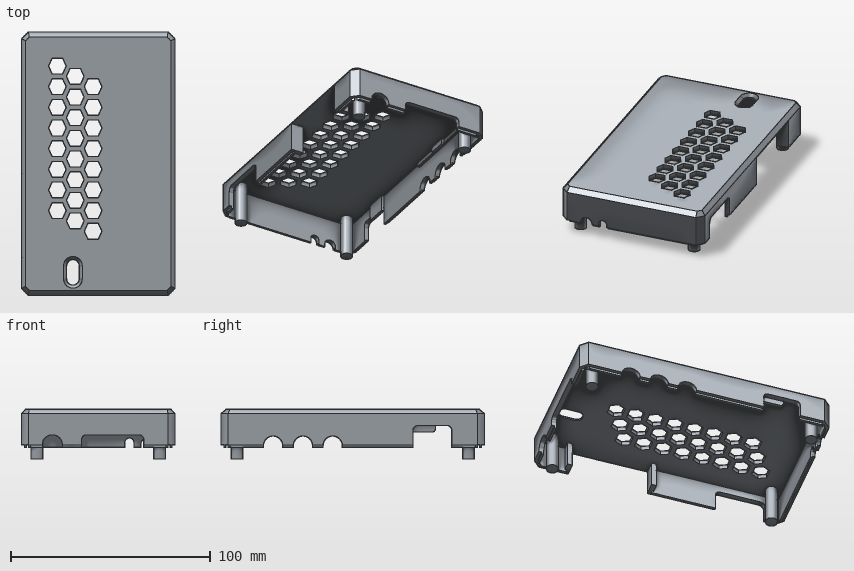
import cadquery as cq
import math

WIDTH = 77.0
LENGTH = 132.0
HEIGHT = 25.0
CORNER_CUT = 3.5
RIM_INSET_X = 2.1
RIM_INSET_Y = 2.6
RIM_CORNER_CUT = 1.8
RIM_DROP = 2.2
WALL = 2.5
PLATE = 2.6

LIP_INSET = 1.5
LIP_CORNER_CUT = 3.2
LIP_DROP = 1.3

PIN_DIAMETER = 6.0
PIN_SIDE_DISTANCE = 7.8
PIN_END_DISTANCE = 8.0
PIN_LENGTH = 5.8

LIP_BOTTOM = PIN_LENGTH
WALL_BOTTOM = LIP_BOTTOM + LIP_DROP
PLATE_BOTTOM = HEIGHT - PLATE
RIM_BOTTOM = HEIGHT - RIM_DROP

HEX_WIDTH = 8.7
HEX_HEIGHT = 7.8
HEX_FLAT_LENGTH = 5.1
HEX_COLUMNS = 3
HEX_ROWS = 8
HEX_CENTER_SPAN = 72.3
HEX_STEP = HEX_CENTER_SPAN / (HEX_ROWS - 1)
HEX_START_X = -20.5
HEX_START_Y = 48.8

SLOT_X = -12.7
SLOT_Y = -54.4
SLOT_WIDTH = 6.2
SLOT_LENGTH = 12.7
SLOT_COUNTERSINK = 1.6

POWER_X = -23.0
POWER_RADIUS = 5.0
FRONT_OPENING_X = (-8.3, 22.7)
FRONT_OPENING_TOP = 12.1
FRONT_OPENING_RADIUS = 2.4

BACK_NOTCH_TOP = 10.5
SMALL_NOTCH_X = 15.6
SMALL_NOTCH_RADIUS = 2.2
LARGE_NOTCH_X = 24.4
LARGE_NOTCH_RADIUS = 3.0

LEFT_OPENING_Y = (30.2, 56.4)
LEFT_OPENING_TOP = 18.0
LEFT_OPENING_RADIUS = 2.6
TALL_OPENING_Y = (-47.0, -5.0)
JAMB_DEPTH = 6.7
JAMB_THICKNESS = WALL

RAIL_BOTTOM = 20.2
RAIL_THICKNESS = 1.3
TAB_Y = (-31.0, -21.3)
TAB_BOTTOM = 19.3
TAB_RADIUS = 1.0
TAB_THICKNESS = 1.3

RIGHT_OPENING_Y = (LEFT_OPENING_Y[0], 49.5)
RIGHT_OPENING_TOP = 16.8
RIGHT_OPENING_RADIUS = 2.4
PAD_Y = (LEFT_OPENING_Y[0], 41.5)
PAD_BOTTOM = 13.5
PAD_RADIUS = 1.7
PAD_THICKNESS = 1.3
JACK_RADIUS = 4.8
JACK_MIDDLE_Y = -25.0
JACK_STEP = 14.9
JACK_CENTER_Z = 6.7


def block(x_range, y_range, z_range):
    """Box between the given pairs of limits."""
    (x0, x1), (y0, y1), (z0, z1) = x_range, y_range, z_range
    return cq.Workplane("XY").box(x1 - x0, y1 - y0, z1 - z0, centered=False).translate((x0, y0, z0))


def octagon(width, length, cut, z):
    """Rectangle with cut corners, as a wire at height z."""
    x, y = width / 2, length / 2
    points = [
        (x, cut - y), (x, y - cut), (x - cut, y), (cut - x, y),
        (-x, y - cut), (-x, cut - y), (cut - x, -y), (x - cut, -y),
    ]
    return cq.Workplane("XY").workplane(offset=z).polyline(points).close()


def arch_outline(plane, center, radius, center_z):
    """Closed outline of an arch that runs down to the pin tips."""
    return (
        cq.Workplane(plane)
        .moveTo(center - radius, 0)
        .lineTo(center - radius, center_z)
        .threePointArc((center, center_z + radius), (center + radius, center_z))
        .lineTo(center + radius, 0)
        .close()
    )


def front_arch(center, radius, center_z):
    """Arch through the -Y wall."""
    return arch_outline("XZ", center, radius, center_z).extrude(WALL).translate((0, WALL - LENGTH / 2, 0))


def back_arch(center, radius, center_z):
    """Arch through the +Y wall."""
    return arch_outline("XZ", center, radius, center_z).extrude(WALL).translate((0, LENGTH / 2, 0))


def right_arch(center, radius, center_z):
    """Arch through the +X wall."""
    return arch_outline("YZ", center, radius, center_z).extrude(WALL).translate((WIDTH / 2 - WALL, 0, 0))


def make_shell():
    """Bevelled tray, open at the bottom, with a set-back lip."""
    walls = octagon(WIDTH, LENGTH, CORNER_CUT, WALL_BOTTOM).extrude(RIM_BOTTOM - WALL_BOTTOM)
    lower_rim = octagon(WIDTH, LENGTH, CORNER_CUT, RIM_BOTTOM).val()
    top_width, top_length = WIDTH - 2 * RIM_INSET_X, LENGTH - 2 * RIM_INSET_Y
    upper_rim = octagon(top_width, top_length, RIM_CORNER_CUT, HEIGHT).val()
    rim = cq.Workplane(cq.Solid.makeLoft([lower_rim, upper_rim], True))
    lip_width, lip_length = WIDTH - 2 * LIP_INSET, LENGTH - 2 * LIP_INSET
    lip = octagon(lip_width, lip_length, LIP_CORNER_CUT, LIP_BOTTOM).extrude(LIP_DROP)
    inner_x, inner_y = WIDTH / 2 - WALL, LENGTH / 2 - WALL
    cavity = block((-inner_x, inner_x), (-inner_y, inner_y), (0, PLATE_BOTTOM))
    return walls.union(rim).union(lip).cut(cavity)


def make_pins():
    """Four pins hanging from the plate inside the corners."""
    spacing_x = WIDTH - 2 * PIN_SIDE_DISTANCE
    spacing_y = LENGTH - 2 * PIN_END_DISTANCE
    centers = cq.Workplane("XY").rect(spacing_x, spacing_y, forConstruction=True).vertices()
    return centers.circle(PIN_DIAMETER / 2).extrude(PLATE_BOTTOM)


def make_vent():
    """Staggered hexagonal holes with corners pointing along X."""
    column_step = HEX_STEP * math.sqrt(3) / 2
    centers = [
        (HEX_START_X + column * column_step, HEX_START_Y - (row + column / 2) * HEX_STEP)
        for column in range(HEX_COLUMNS)
        for row in range(HEX_ROWS)
    ]
    corner_x, flat_x, flat_y = HEX_WIDTH / 2, HEX_FLAT_LENGTH / 2, HEX_HEIGHT / 2
    outline = [
        (corner_x, 0), (flat_x, flat_y), (-flat_x, flat_y),
        (-corner_x, 0), (-flat_x, -flat_y), (flat_x, -flat_y),
    ]
    hexagon = cq.Workplane("XY").polyline(outline).close().extrude(PLATE).val()
    plane = cq.Workplane("XY").workplane(offset=PLATE_BOTTOM)
    return plane.pushPoints(centers).eachpoint(lambda place: hexagon.moved(place))


def make_switch_slot():
    """Slot through the plate, flared at the top."""
    top = cq.Workplane("XY").workplane(offset=HEIGHT).center(SLOT_X, SLOT_Y)
    through = top.slot2D(SLOT_LENGTH, SLOT_WIDTH, 90).extrude(-PLATE)
    flare_length = SLOT_LENGTH + 2 * SLOT_COUNTERSINK
    flare_width = SLOT_WIDTH + 2 * SLOT_COUNTERSINK
    flare = top.slot2D(flare_length, flare_width, 90).extrude(-SLOT_COUNTERSINK, taper=45)
    return through.union(flare)


def make_front_openings():
    """Power arch and wide opening in the -Y wall."""
    y_range = (-LENGTH / 2, WALL - LENGTH / 2)
    wide = block(FRONT_OPENING_X, y_range, (0, FRONT_OPENING_TOP))
    wide = wide.edges("|Y and >Z").fillet(FRONT_OPENING_RADIUS)
    return wide.union(front_arch(POWER_X, POWER_RADIUS, WALL_BOTTOM))


def make_back_openings():
    """Two arched notches in the +Y wall."""
    small = back_arch(SMALL_NOTCH_X, SMALL_NOTCH_RADIUS, BACK_NOTCH_TOP - SMALL_NOTCH_RADIUS)
    large = back_arch(LARGE_NOTCH_X, LARGE_NOTCH_RADIUS, BACK_NOTCH_TOP - LARGE_NOTCH_RADIUS)
    return small.union(large)


def make_left_openings():
    """Rounded opening and tall opening in the -X wall; the lip stops short of the tall one."""
    x_range = (-WIDTH / 2, WALL - WIDTH / 2)
    rounded = block(x_range, LEFT_OPENING_Y, (0, LEFT_OPENING_TOP))
    rounded = rounded.edges("|X and >Z").fillet(LEFT_OPENING_RADIUS)
    first_y, last_y = TALL_OPENING_Y
    tall = block(x_range, TALL_OPENING_Y, (0, PLATE_BOTTOM))
    lip_gap = block(x_range, (first_y - LIP_INSET, last_y + LIP_INSET), (0, WALL_BOTTOM))
    return rounded.union(tall).union(lip_gap)


def make_right_openings():
    """Rounded opening and three jack arches in the +X wall."""
    x_range = (WIDTH / 2 - WALL, WIDTH / 2)
    openings = block(x_range, RIGHT_OPENING_Y, (0, RIGHT_OPENING_TOP))
    openings = openings.edges("|X and >Z").fillet(RIGHT_OPENING_RADIUS)
    for step in (-1, 0, 1):
        center = JACK_MIDDLE_Y + step * JACK_STEP
        openings = openings.union(right_arch(center, JACK_RADIUS, JACK_CENTER_Z))
    return openings


def make_jambs():
    """Deep posts on the -X wall, one at each end of the tall opening."""
    x_range = (-WIDTH / 2, JAMB_DEPTH - WIDTH / 2)
    first_y, last_y = TALL_OPENING_Y
    z_range = (WALL_BOTTOM, PLATE_BOTTOM)
    first = block(x_range, (first_y - JAMB_THICKNESS, first_y), z_range)
    last = block(x_range, (last_y, last_y + JAMB_THICKNESS), z_range)
    return first.union(last)


def make_rail():
    """Rail in the corner of the plate and the +X wall, and its tab."""
    wall_x = WIDTH / 2 - WALL
    rail_x = wall_x - RAIL_THICKNESS
    rail = block((rail_x, wall_x), TALL_OPENING_Y, (RAIL_BOTTOM, PLATE_BOTTOM))
    tab = block((rail_x - TAB_THICKNESS, rail_x), TAB_Y, (TAB_BOTTOM, PLATE_BOTTOM))
    return rail.union(tab.edges("|X and <Z").fillet(TAB_RADIUS))


def make_pad():
    """Pad on the inner face of the +X wall, hanging from the plate."""
    wall_x = WIDTH / 2 - WALL
    pad = block((wall_x - PAD_THICKNESS, wall_x), PAD_Y, (PAD_BOTTOM, PLATE_BOTTOM))
    return pad.edges("|X and <Z and >Y").fillet(PAD_RADIUS)


result = (
    make_shell()
    .cut(make_vent())
    .cut(make_switch_slot())
    .cut(make_front_openings())
    .cut(make_back_openings())
    .cut(make_left_openings())
    .cut(make_right_openings())
    .union(make_pins())
    .union(make_jambs())
    .union(make_rail())
    .union(make_pad())
)